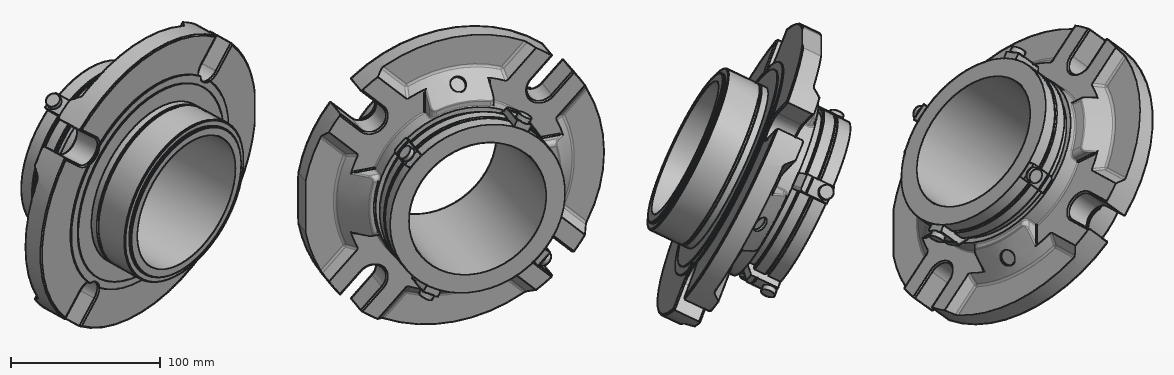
import cadquery as cq
import math


length = 92.0
bore_dia = 98.3
collar_dia = 125.3
collar_end = 20.5
collar_groove_start = 9.5
rear_collar_start = 11.0
collar_groove_dia = 122.5
collar_chamfer = 0.9
neck_dia = 119.0
spigot_dia = 119.5
spigot_end = 90.4
spigot_groove_start = 65.1
spigot_groove_width = 1.7
spigot_groove_dia = 116.0
nose_dia = 111.0
edge_chamfer = 0.6

flange_dia = 215.6
floor_x = 44.2
flange_back = 58.5
flange_edge_chamfer = 0.9
step_dia = 157.5
step_back = 59.5
pilot_dia = 145.5
pilot_back = 60.4
flat_y = 106.0

pad_x = 38.2
pad_half_width = 24.8
pad_foot_half_width = pad_half_width + (floor_x - pad_x)
floor_fillet = 2.8
slot_radius = 10.4
slot_center_radius = 86.0
slot_chamfer = 1.0

hub_front = 25.5
hub_dia = 126.4
hub_fillet = 0.9
cone_radius_at_floor = 85.2
boss_half_width = 22.9
boss_fronts = (26.5, 30.0, 26.5, 26.5)
boss_corner_fillet = 3.7
boss_edge_fillet = 1.0

pocket_dia = 11.0
pocket_depth = 2.2
pocket_radius = 76.5

clip_angles = (30, 135, 210, 315)
clip_front = 0.2
clip_spread = 10.5
clip_radius = 67.7
clip_base_radius = 58.2
clip_bend_x = 20.5
clip_end_radius = 61.0
clip_bend_fillet = 2.2
clip_groove_start = 15.5
clip_groove_width = 0.9
clip_groove_depth = 0.5
cap_dia = 10.0
cap_x = 4.3
cap_base_radius = 67.3
cap_top_radius = 71.4

pocket_turns = (0, 180)

tolerance = 0.02

quarter_turns = (0, 90, 180, 270)


def cone_radius(x):
    return cone_radius_at_floor - (floor_x - x)


def turned(x_start, x_end, dia):
    """Solid cylinder along the X axis."""
    return cq.Workplane("YZ", origin=(x_start, 0, 0)).circle(dia / 2).extrude(x_end - x_start)


def revolved(points):
    """Solid revolved about X from an (x, radius) outline."""
    return cq.Workplane("XY").polyline(points).close().revolve(360, (0, 0, 0), (1, 0, 0))


def about_axis(solid, angle):
    return solid.rotate((0, 0, 0), (1, 0, 0), angle)


def ring_groove(x_start, width, outer_dia, floor_dia):
    """Ring that cuts a square groove into a cylinder."""
    ring = cq.Workplane("YZ", origin=(x_start, 0, 0)).circle(outer_dia / 2).circle(floor_dia / 2)
    return ring.extrude(width)


def cone(x_start):
    """Frustum that widens toward the flange floor."""
    return revolved([
        (x_start, 0),
        (x_start, cone_radius(x_start)),
        (floor_x, cone_radius_at_floor),
        (floor_x, 0),
    ])


def pad(angle):
    """Trapezoidal pad that runs radially out to the flange rim."""
    bar = (
        cq.Workplane("XY")
        .polyline([
            (pad_x, -pad_half_width),
            (floor_x, -pad_foot_half_width),
            (floor_x, pad_foot_half_width),
            (pad_x, pad_half_width),
        ])
        .close()
        .extrude(flange_dia)
    )
    rim = turned(pad_x, floor_x, flange_dia)
    return about_axis(bar, angle).intersect(rim)


def boss_foot():
    """Rounded feet between the pads and the two sides of an upright boss."""
    blend_start = pad_x - hub_fillet
    foot_radius = cone_radius(blend_start) - boss_edge_fillet
    foot_height = math.sqrt(foot_radius ** 2 - (boss_half_width + hub_fillet) ** 2)
    corner = (
        cq.Workplane("XY")
        .moveTo(blend_start, 0)
        .lineTo(blend_start, boss_half_width)
        .radiusArc((pad_x, boss_half_width + hub_fillet), hub_fillet)
        .lineTo(pad_x, 0)
        .close()
        .extrude(foot_height)
    )
    return corner.union(corner.mirror("XZ"))


def boss(angle, front):
    """Block of the cone between two flat sides, with rounded side edges."""
    block = (
        cone(front)
        .intersect(cq.Workplane("XY").box(flange_dia, 2 * boss_half_width, flange_dia))
        .intersect(cq.Workplane("XY").box(flange_dia, flange_dia, flange_dia, centered=(True, True, False)))
    )
    block = block.faces("<X").edges("|Z").fillet(boss_corner_fillet)
    block = block.faces("|Y").edges("not(|Y or |Z or |X)").fillet(boss_edge_fillet)
    return about_axis(block.union(boss_foot()), angle)


def slot_outline(x, radius):
    """U-shaped outline, open past the rim, in the plane at x."""
    return (
        cq.Workplane("YZ", origin=(x, 0, 0))
        .moveTo(-radius, flange_dia)
        .lineTo(-radius, slot_center_radius)
        .threePointArc((0, slot_center_radius - radius), (radius, slot_center_radius))
        .lineTo(radius, flange_dia)
        .close()
    )


def slot(angle):
    """Open-ended slot through the flange and its back steps."""
    cutter = slot_outline(pad_x, slot_radius).extrude(pilot_back - pad_x)
    return about_axis(cutter, angle)


def slot_bevels(angle):
    """Chamfers along the slot on the front and back of the flange plate."""
    wide_radius = slot_radius + slot_chamfer
    front = slot_outline(pad_x, wide_radius).extrude(slot_chamfer, taper=45)
    back = slot_outline(flange_back, wide_radius).extrude(-slot_chamfer, taper=45)
    return about_axis(front.union(back), angle)


def round_pocket(angle):
    """Blind round pocket sunk square into the cone of a boss."""
    pocket_x = floor_x - (cone_radius_at_floor - pocket_radius)
    into_cone = cq.Vector(1, 0, -1).normalized()
    start = cq.Vector(pocket_x, 0, pocket_radius) - into_cone * pocket_depth
    drill = cq.Solid.makeCylinder(pocket_dia / 2, 2 * pocket_depth, start, into_cone)
    return about_axis(cq.Workplane(drill), angle)


def clip(angle):
    """Curved clip over the collars that bends down to the neck."""
    strip = (
        cq.Workplane("XY")
        .polyline([
            (clip_front, clip_base_radius),
            (clip_front, clip_radius),
            (clip_bend_x, clip_radius),
            (hub_front, clip_end_radius),
            (hub_front, clip_base_radius),
        ])
        .close()
        .revolve(clip_spread, (0, 0, 0), (1, 0, 0))
        .edges(cq.selectors.NearestToPointSelector((clip_bend_x, clip_radius, 0)))
        .fillet(clip_bend_fillet)
    )
    strip = about_axis(strip, 90 - clip_spread / 2)
    cap = (
        cq.Workplane("XY", origin=(cap_x, 0, cap_base_radius))
        .circle(cap_dia / 2)
        .extrude(cap_top_radius - cap_base_radius)
    )
    groove = ring_groove(
        clip_groove_start, clip_groove_width, 2 * clip_radius, 2 * (clip_radius - clip_groove_depth)
    )
    return about_axis(strip.cut(groove).union(cap), angle)


def end_radii(edge):
    """Distances of both ends of an edge from the X axis."""
    return [math.hypot(end.y, end.z) for end in (edge.startPoint(), edge.endPoint())]


def is_floor_edge(edge):
    """True where pad walls and cone meet the sunken floor or each other."""
    reaches_floor = abs(edge.BoundingBox().xmax - floor_x) < tolerance
    return reaches_floor and min(end_radii(edge)) < flange_dia / 2 - tolerance


def is_hub_root_edge(edge):
    """True where the hub meets the pads or a boss."""
    box = edge.BoundingBox()
    radii = end_radii(edge)
    behind_front = box.xmin > hub_front + tolerance and box.xmax < pad_x + tolerance
    return behind_front and all(abs(radius - hub_dia / 2) < tolerance for radius in radii)


body = turned(floor_x, flange_back, flange_dia)
body = body.faces(">X").edges().chamfer(flange_edge_chamfer)
body = body.union(cone(pad_x))
for turn in quarter_turns:
    body = body.union(pad(turn + 45))
body = body.edges().filter(is_floor_edge).fillet(floor_fillet)

body = body.union(turned(hub_front, floor_x, hub_dia))
body = body.edges().filter(is_hub_root_edge).fillet(hub_fillet)
for turn, front in zip(quarter_turns, boss_fronts):
    body = body.union(boss(turn, front))
body = body.edges().filter(is_hub_root_edge).fillet(hub_fillet)

for turn in quarter_turns:
    body = body.cut(slot_bevels(turn + 45))
body = body.union(turned(flange_back, step_back, step_dia))
body = body.union(turned(step_back, pilot_back, pilot_dia))
for turn in quarter_turns:
    body = body.cut(slot(turn + 45))

for turn in pocket_turns:
    body = body.cut(round_pocket(turn))

body = body.intersect(
    cq.Workplane("XY").box(2 * length, flange_dia, flange_dia).translate((0, flat_y - flange_dia / 2, 0))
)

neck_end = turned(collar_end, pilot_back, neck_dia)
front_collar = turned(0, collar_groove_start, collar_dia)
groove_core = turned(collar_groove_start, rear_collar_start, collar_groove_dia)
rear_collar = turned(rear_collar_start, collar_end, collar_dia).edges().chamfer(collar_chamfer)
spigot = turned(pilot_back, spigot_end, spigot_dia).faces(">X").edges().chamfer(edge_chamfer)
nose = turned(spigot_end, length, nose_dia).faces(">X").edges().chamfer(edge_chamfer)
for section in (neck_end, front_collar, groove_core, rear_collar, spigot, nose):
    body = body.union(section)
body = body.cut(ring_groove(spigot_groove_start, spigot_groove_width, spigot_dia, spigot_groove_dia))

for angle in clip_angles:
    body = body.union(clip(angle))
result = body.cut(turned(0, length, bore_dia))